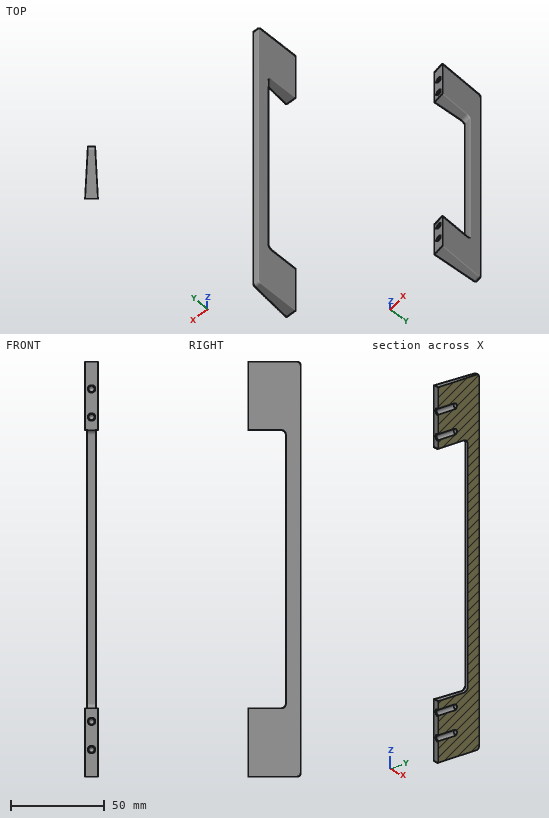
import cadquery as cq
import math

height = 221.0
depth = 28.0
base_width = 7.0
back_width = 4.0

foot_height = 36.5
bar_depth = 8.0
inner_corner_radius = 2.5
inner_edge_fillet = 0.5

back_corner_radius = 2.0
outer_edge_fillet = 0.5

outer_hole_pitch = 192.0
inner_hole_pitch = 162.0
hole_diameter = 3.2
countersink_diameter = 4.0
countersink_angle = 90.0
hole_depth = 12.0
hole_tip_angle = 118.0

front_y = -depth / 2
back_y = depth / 2
bar_inner_y = back_y - bar_depth
top_z = height / 2
window_half_height = top_z - foot_height


def half_width(y):
    """Half the width of the tapered section at a given Y."""
    return (base_width - (base_width - back_width) * (y - front_y) / depth) / 2


def tapered_blank():
    """Full-height bar whose section narrows from the mounting face to the back."""
    section = [
        (-base_width / 2, front_y),
        (base_width / 2, front_y),
        (back_width / 2, back_y),
        (-back_width / 2, back_y),
    ]
    return cq.Workplane("XY").workplane(offset=-top_z).polyline(section).close().extrude(height)


def finger_opening():
    """Opening between the feet, with rounded corners next to the grip bar."""
    return (
        cq.Workplane("XY")
        .box(2 * base_width, depth - bar_depth, 2 * window_half_height)
        .translate((0, front_y + (depth - bar_depth) / 2, 0))
        .edges(">Y and |X")
        .fillet(inner_corner_radius)
    )


def round_outer_edges(body):
    """Round the back corners, then the side edges of the back and the tangent ends."""
    body = body.edges(">Y and |X").fillet(back_corner_radius)
    return body.faces(">Y").edges("|Z").fillet(outer_edge_fillet)


def round_inner_edges(body):
    """Round the side edges of the grip bar next to the opening and the tangent corners and feet."""
    for side in (-1, 1):
        edge = cq.selectors.NearestToPointSelector((side * half_width(bar_inner_y), bar_inner_y, 0))
        body = body.edges(edge).fillet(inner_edge_fillet)
    return body


def mounting_hole(z):
    """Blind drilled hole with a conical tip and a countersunk mouth on the mounting face."""
    radius = hole_diameter / 2
    mouth_radius = countersink_diameter / 2
    countersink_depth = (mouth_radius - radius) / math.tan(math.radians(countersink_angle / 2))
    tip_depth = radius / math.tan(math.radians(hole_tip_angle / 2))
    profile = [
        (0, front_y),
        (mouth_radius, front_y),
        (radius, front_y + countersink_depth),
        (radius, front_y + hole_depth),
        (0, front_y + hole_depth + tip_depth),
    ]
    turned = cq.Workplane("XY").polyline(profile).close().revolve(360, (0, 0), (0, 1))
    return turned.translate((0, 0, z))


result = round_outer_edges(tapered_blank()).cut(finger_opening())
result = round_inner_edges(result)
for pitch in (outer_hole_pitch, inner_hole_pitch):
    for side in (-1, 1):
        result = result.cut(mounting_hole(side * pitch / 2))